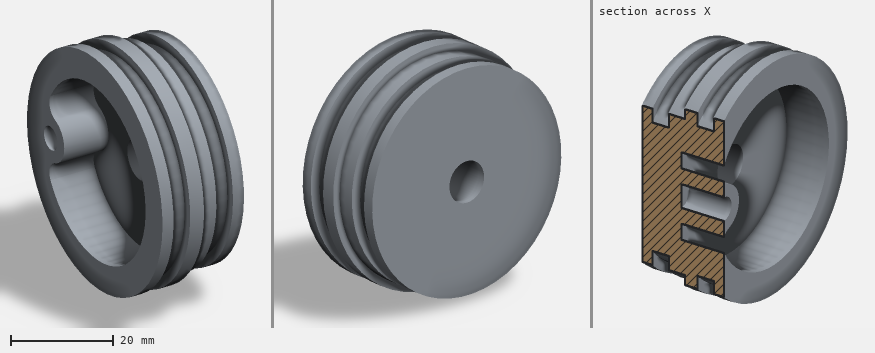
import cadquery as cq
import math

flange_radius = 25.4
shoulder_radius = 23.8125
groove_depth = 2.1
groove_width = 3.81
lip_width = 2.54
flange_width = 3.175
shoulder_width = 3.81

bore_radius = 4.3656
pocket_radius = 19.05
pocket_depth = 10.16
boss_offset = 16.51
boss_radius = 5.08
boss_hole_radius = 2.54
boss_hole_depth = pocket_depth
blend_radius = 3.175

bands = [
    (flange_radius, lip_width),
    (flange_radius - groove_depth, groove_width),
    (flange_radius, flange_width),
    (shoulder_radius, shoulder_width),
    (shoulder_radius - groove_depth, groove_width),
    (shoulder_radius, lip_width),
]
body_length = sum(width for _, width in bands)


def cylinder(radius, start, length, center_x=0.0):
    """Cylinder parallel to Y, running from Y = start towards +Y."""
    base = cq.Solid.makeCylinder(radius, length, cq.Vector(center_x, start, 0), cq.Vector(0, 1, 0))
    return cq.Workplane(obj=base)


def make_body():
    """Stepped disc with one ring groove in each diameter."""
    body = cq.Workplane()
    start = 0.0
    for radius, width in bands:
        body = body.union(cylinder(radius, start, width))
        start += width
    return body


def make_pocket():
    """Round pocket that leaves a boss on its -X side, blended into the wall by two arcs."""
    wall_distance = pocket_radius - blend_radius
    boss_distance = boss_radius + blend_radius
    blend_x = (boss_distance**2 - wall_distance**2 - boss_offset**2) / (2 * boss_offset)
    blend_z = math.sqrt(wall_distance**2 - blend_x**2)

    wall_scale = pocket_radius / wall_distance
    wall_x = blend_x * wall_scale
    wall_z = blend_z * wall_scale
    boss_scale = boss_radius / boss_distance
    boss_x = -boss_offset + (blend_x + boss_offset) * boss_scale
    boss_z = blend_z * boss_scale
    boss_tip_x = -boss_offset + boss_radius

    to_wall = math.atan2(wall_z - blend_z, wall_x - blend_x)
    to_boss = math.atan2(boss_z - blend_z, boss_x - blend_x) + 2 * math.pi
    middle = (to_wall + to_boss) / 2
    mid_x = blend_x + blend_radius * math.cos(middle)
    mid_z = blend_z + blend_radius * math.sin(middle)

    return (
        cq.Workplane("XZ")
        .moveTo(wall_x, wall_z)
        .threePointArc((pocket_radius, 0), (wall_x, -wall_z))
        .threePointArc((mid_x, -mid_z), (boss_x, -boss_z))
        .threePointArc((boss_tip_x, 0), (boss_x, boss_z))
        .threePointArc((mid_x, mid_z), (wall_x, wall_z))
        .close()
        .extrude(-pocket_depth)
    )


bore = cylinder(bore_radius, 0.0, body_length)
boss_hole = cylinder(boss_hole_radius, 0.0, boss_hole_depth, -boss_offset)

result = make_body().cut(make_pocket()).cut(bore).cut(boss_hole)